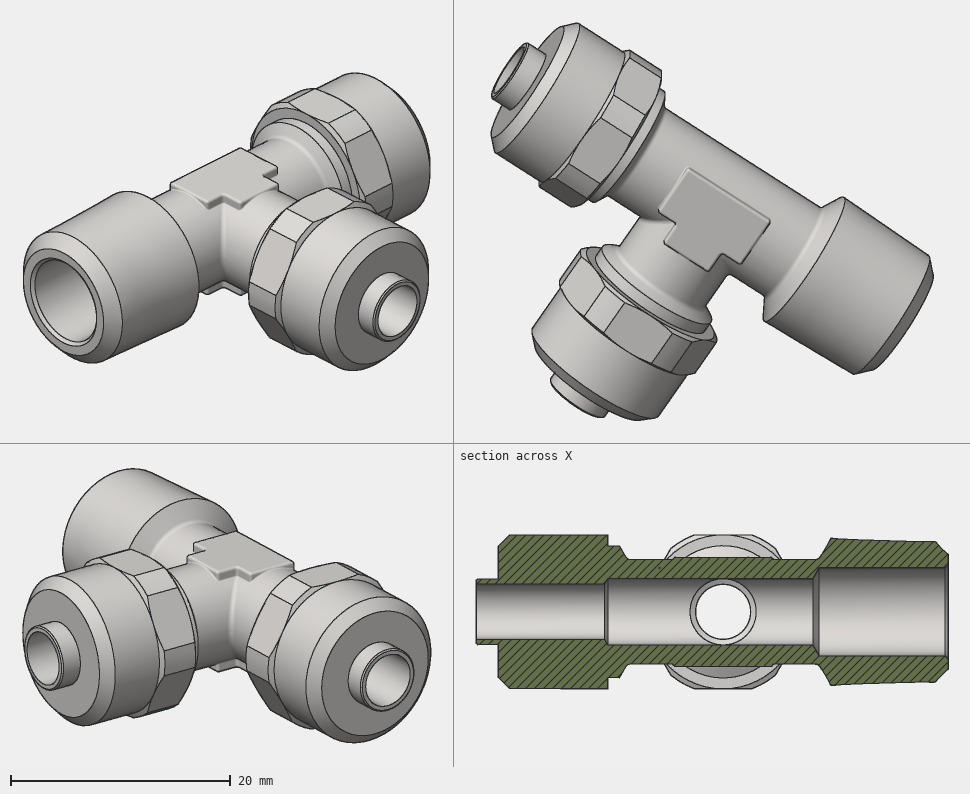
import cadquery as cq
import math

tube_radius = 4.77
neck_angle = 60.0
neck_fillet = 0.5
tee_fillet = 0.4

collar_radius = 6.0
collar_start = 9.4
nut_start = 10.5
hex_end = 14.5
nut_end = 20.45
tip_end = 22.5
nut_radius = 7.0
hex_corner_radius = 7.5
hex_bevel_angle = 30.0
nut_chamfer = 1.05
tip_radius = 3.0
tip_chamfer = 0.15

thread_start = 9.8
thread_end = 20.5
thread_chamfer = 1.2
thread_root_radius = 6.7
thread_taper = 1 / 16
thread_taper_length = thread_end - thread_chamfer - thread_start
thread_tip_radius = thread_root_radius - thread_taper_length * thread_taper / 2

body_bore_radius = 3.0
tip_bore_radius = 2.5
thread_bore_radius = 4.0
thread_bore_chamfer = 0.3
thread_bore_stop = 8.75
step_angle = 60.0

pad_height = 5.0
pad_half_width = 2.5
pad_half_length = 4.55
pad_arm_end = 4.7
pad_fillet = 0.25
pad_root_fillet = 0.15

pad_root_floor = 3.85
touch = 0.005
edge_samples = [0, 0.3, 0.7, 1]


def turned(points):
    """Solid of revolution about Y from (radius, station) points; closes along the axis."""
    outline = [(0, points[0][1])] + points + [(0, points[-1][1])]
    return cq.Workplane("XY").polyline(outline).close().revolve(360, (0, 0), (0, 1))


def cone_length(radius_change, angle):
    return radius_change / math.tan(math.radians(angle))


def neck(end_radius, end_station):
    """Tube from the origin along +Y, flaring to end_radius, with a rounded root."""
    root = end_station - cone_length(end_radius - tube_radius, neck_angle)
    half_turn = math.radians(neck_angle / 2)
    tangent = neck_fillet * math.tan(half_turn)
    slope = math.radians(neck_angle)
    arc_end = (tube_radius + tangent * math.sin(slope), root + tangent * math.cos(slope))
    return (
        cq.Workplane("XY")
        .lineTo(tube_radius, 0)
        .lineTo(tube_radius, root - tangent)
        .radiusArc(arc_end, neck_fillet)
        .lineTo(end_radius, end_station)
        .lineTo(0, end_station)
        .close()
        .revolve(360, (0, 0), (0, 1))
    )


def hexagon():
    """Hex part of the nut with flats facing Z, its corners turned down and bevelled."""
    length = hex_end - nut_start
    across_corners = 2 * nut_radius / math.cos(math.pi / 6)
    prism = (
        cq.Workplane("XZ", origin=(0, nut_start, 0))
        .polygon(6, across_corners)
        .extrude(-length)
    )
    bevel = (hex_corner_radius - nut_radius) * math.tan(math.radians(hex_bevel_angle))
    envelope = turned([
        (nut_radius, nut_start),
        (hex_corner_radius, nut_start + bevel),
        (hex_corner_radius, hex_end - bevel),
        (nut_radius, hex_end),
    ])
    return prism.intersect(envelope)


def compression_end():
    """Collar, nut and hose tip along +Y."""
    collar = turned([(collar_radius, collar_start), (collar_radius, nut_start)])
    nut = turned([
        (nut_radius, hex_end),
        (nut_radius, nut_end - nut_chamfer),
        (nut_radius - nut_chamfer, nut_end),
    ])
    tip = turned([
        (tip_radius, nut_end),
        (tip_radius, tip_end - tip_chamfer),
        (tip_radius - tip_chamfer, tip_end),
    ])
    return collar.union(hexagon()).union(nut).union(tip)


def to_branch(arm):
    return arm.rotate((0, 0, 0), (0, 0, 1), -90)


def to_thread_side(arm):
    return arm.rotate((0, 0, 0), (0, 0, 1), 180)


def threaded_end():
    """Tapered male end along +Y."""
    return turned([
        (thread_root_radius, thread_start),
        (thread_tip_radius, thread_end - thread_chamfer),
        (thread_tip_radius - thread_chamfer, thread_end),
    ])


def pad_block():
    """T-shaped block through the body whose two faces form the pads."""
    outline = [
        (-pad_half_width, -pad_half_length),
        (pad_half_width, -pad_half_length),
        (pad_half_width, -pad_half_width),
        (pad_arm_end, -pad_half_width),
        (pad_arm_end, pad_half_width),
        (pad_half_width, pad_half_width),
        (pad_half_width, pad_half_length),
        (-pad_half_width, pad_half_length),
    ]
    block = (
        cq.Workplane("XY", origin=(0, 0, -pad_height))
        .polyline(outline)
        .close()
        .extrude(2 * pad_height)
    )
    return block.edges().fillet(pad_fillet)


def arm_bore():
    """Bore along +Y, narrowing by a cone inside the nut."""
    step = cone_length(body_bore_radius - tip_bore_radius, step_angle)
    return turned([
        (body_bore_radius, 0),
        (body_bore_radius, nut_start),
        (tip_bore_radius, nut_start + step),
        (tip_bore_radius, tip_end),
    ])


def thread_bore():
    """Bore of the threaded end along +Y, with a conical bottom and a chamfered mouth."""
    step = cone_length(thread_bore_radius - body_bore_radius, step_angle)
    return turned([
        (body_bore_radius, 0),
        (body_bore_radius, thread_bore_stop - step),
        (thread_bore_radius, thread_bore_stop),
        (thread_bore_radius, thread_end - thread_bore_chamfer),
        (thread_bore_radius + thread_bore_chamfer, thread_end),
    ])


def is_tee_edge(edge):
    """True for the mitre edges where the two tubes meet, which lie in the planes X = |Y|."""
    middle = edge.Center()
    in_mitre_plane = abs(middle.x - abs(middle.y)) < touch and abs(middle.z) < pad_root_floor
    return in_mitre_plane and middle.x > tube_radius / 2


def is_pad_root_edge(edge):
    """True for the edges where the pad walls meet the surface of either tube."""
    for point in edge.positions(edge_samples):
        near_pad = max(abs(point.x), abs(point.y)) < pad_arm_end + pad_fillet
        above_floor = abs(point.z) > pad_root_floor
        on_main_tube = abs(math.hypot(point.x, point.z) - tube_radius) < touch
        on_branch = abs(math.hypot(point.y, point.z) - tube_radius) < touch
        if not (near_pad and above_floor and (on_main_tube or on_branch)):
            return False
    return True


def round_edges(solid, is_wanted, radius):
    wanted = [edge for edge in solid.edges().vals() if is_wanted(edge)]
    return solid.newObject(wanted).fillet(radius)


compression_arm = neck(collar_radius, collar_start).union(compression_end())
thread_arm = neck(thread_root_radius, thread_start).union(threaded_end())

body = compression_arm.union(to_branch(compression_arm)).union(to_thread_side(thread_arm))
body = body.union(pad_block())
body = round_edges(body, is_tee_edge, tee_fillet)
body = round_edges(body, is_pad_root_edge, pad_root_fillet)
for bore in (arm_bore(), to_branch(arm_bore()), to_thread_side(thread_bore())):
    body = body.cut(bore)

result = body